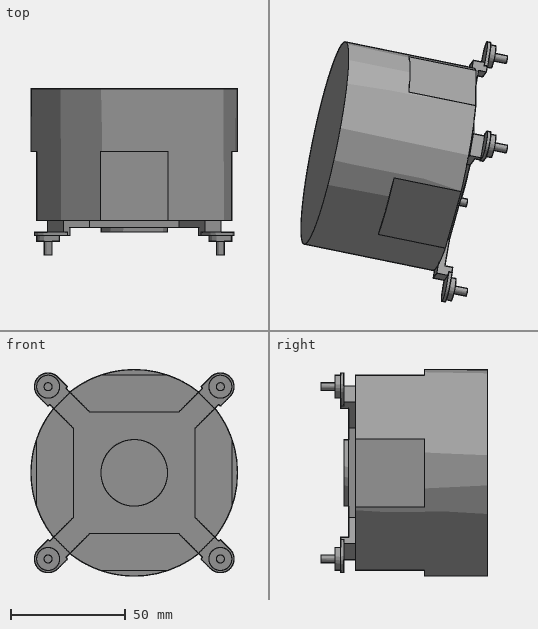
import cadquery as cq
import math

HOUSING_DIAMETER = 90.0
HOUSING_LENGTH = 57.5
FLAT_LENGTH = 30.0
ACROSS_FLATS = 85.0
FRONT_FACE_Y = -HOUSING_LENGTH

PLATE_WIDTH = 53.0
PLATE_THICKNESS = 3.0
PAD_DIAMETER = 29.0
PAD_HEIGHT = 5.0

STUD_SPACING = 75.0
COLLAR_DIAMETER = 10.0
COLLAR_THICKNESS = 2.5
PIN_DIAMETER = 3.5
PIN_LENGTH = 6.0
STUD_RADIUS = STUD_SPACING / math.sqrt(2)

ARM_WIDTH = 10.0
ARM_END_GAP = 4.5
ARM_END = STUD_RADIUS - ARM_END_GAP
RISER_THICKNESS = 4.0
RISER_START = ARM_END - RISER_THICKNESS
FOOT_WIDTH = 12.0
FOOT_THICKNESS = 1.5
FOOT_BACK = 5.0
FOOT_FRONT = FOOT_BACK + FOOT_THICKNESS
FOOT_START = STUD_RADIUS - FOOT_WIDTH / 2

DIAGONAL_ANGLES = [45, 135, 225, 315]


def front_plane(height):
    """Plane parallel to the housing front face, facing -Y, at a height in front of it."""
    return cq.Workplane("XZ", origin=(0, FRONT_FACE_Y - height, 0))


def make_drum():
    """Round drum with four flats milled along its front part."""
    drum = front_plane(0).circle(HOUSING_DIAMETER / 2).extrude(-HOUSING_LENGTH)
    flatted_envelope = (
        front_plane(0)
        .rect(ACROSS_FLATS, ACROSS_FLATS)
        .extrude(-FLAT_LENGTH)
    )
    back_envelope = (
        front_plane(-FLAT_LENGTH)
        .circle(HOUSING_DIAMETER / 2)
        .extrude(FLAT_LENGTH - HOUSING_LENGTH)
    )
    return drum.intersect(flatted_envelope.union(back_envelope))


def radial_bar(start, end, width, bottom, top):
    """Bar along +X between two distances from the axis and two heights on the front face."""
    return (
        front_plane(bottom)
        .center((start + end) / 2, 0)
        .rect(end - start, width)
        .extrude(top - bottom)
    )


def make_arm():
    """Arm along +X with its riser and its round-ended foot."""
    arm = radial_bar(0, ARM_END, ARM_WIDTH, 0, PLATE_THICKNESS)
    riser = radial_bar(RISER_START, ARM_END, ARM_WIDTH, 0, FOOT_FRONT)
    foot = radial_bar(FOOT_START, STUD_RADIUS, FOOT_WIDTH, FOOT_BACK, FOOT_FRONT)
    foot_end = (
        front_plane(FOOT_BACK)
        .center(STUD_RADIUS, 0)
        .circle(FOOT_WIDTH / 2)
        .extrude(FOOT_THICKNESS)
    )
    return arm.union(riser).union(foot).union(foot_end)


def make_housing():
    """Drum, front plate, pad and the four arms as one solid."""
    plate = front_plane(0).rect(PLATE_WIDTH, PLATE_WIDTH).extrude(PLATE_THICKNESS)
    pad = front_plane(0).circle(PAD_DIAMETER / 2).extrude(PAD_HEIGHT)
    body = make_drum().union(plate).union(pad)
    arm = make_arm()
    for angle in DIAGONAL_ANGLES:
        body = body.union(arm.rotate((0, 0, 0), (0, 1, 0), angle))
    return body


def make_stud():
    """Collar and pin standing on the foot of the arm along +X."""
    collar = front_plane(FOOT_FRONT).center(STUD_RADIUS, 0).circle(COLLAR_DIAMETER / 2)
    pin = (
        front_plane(FOOT_FRONT + COLLAR_THICKNESS)
        .center(STUD_RADIUS, 0)
        .circle(PIN_DIAMETER / 2)
    )
    return collar.extrude(COLLAR_THICKNESS).union(pin.extrude(PIN_LENGTH))


housing = make_housing()

studs = []
for angle in DIAGONAL_ANGLES:
    stud = make_stud().rotate((0, 0, 0), (0, 1, 0), angle)
    studs.append(stud.val())

result = cq.Compound.makeCompound([housing.val(), *studs])